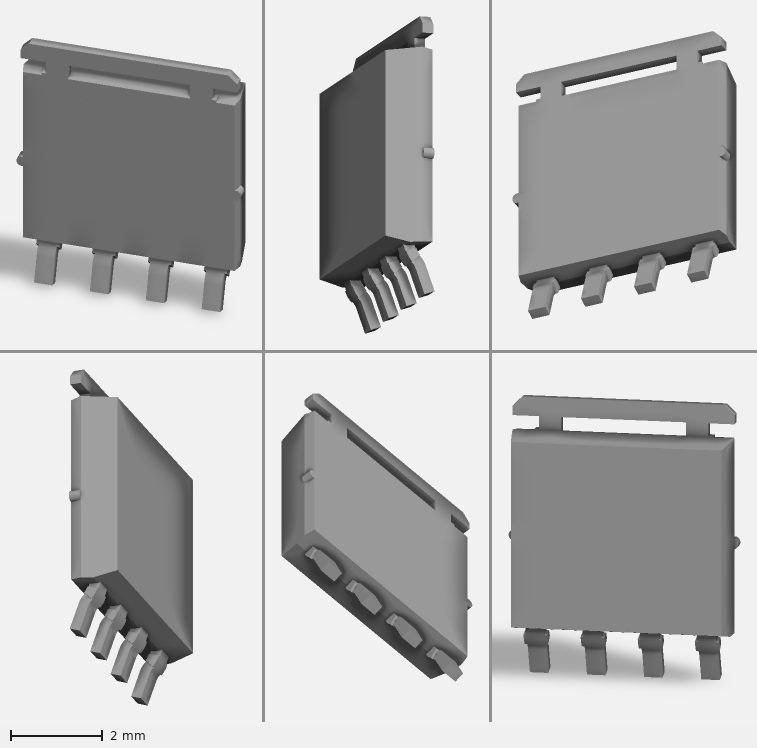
import cadquery as cq
import math


TOTAL_HEIGHT = 6.15
TAB_THICKNESS = 0.245
PACKAGE_DEPTH = 1.06

FRONT_HALF_WIDTH = 2.4
PARTING_HALF_WIDTH = 2.46
BACK_HALF_WIDTH = 2.34
FRONT_TOP = 5.395
PARTING_TOP = 5.43
BACK_TOP = 5.325
FRONT_BOTTOM = 1.115
RIDGE_Y = 0.515
RIDGE_BOTTOM = 1.07
BACK_BOTTOM = 1.195

BAR_HALF_WIDTH = PARTING_HALF_WIDTH
BAR_BOTTOM = 5.745
BAR_CHAMFER = 0.2
NECK_HALF_WIDTH = 1.875
PAD_HALF_WIDTH = 1.98
PAD_TOP = 5.45
PAD_BOTTOM = 2.59
WINDOW_HALF_WIDTH = 1.385
WINDOW_BOTTOM = 4.89

EAR_CENTRE_Z = 3.075
EAR_HALF_HEIGHT = 0.115
EAR_REACH = 2.545
EAR_TIP_ROUND = 0.085
EAR_ROOT_HALF_WIDTH = 2.13
EAR_FLARE = 0.15

LEAD_COUNT = 4
LEAD_PITCH = 1.265
LEAD_WIDTH = 0.41
LEAD_THICKNESS = TAB_THICKNESS
LEAD_EMBED = 0.31
EXIT_ANGLE = 17.0
SHOULDER_WIDTH = 0.52
UPPER_BEND_Y = 0.405
UPPER_BEND_Z = 0.965
UPPER_BEND_ANGLE = 44.0
UPPER_BEND_RADIUS = 0.47
MIDDLE_LENGTH = 0.06
LOWER_BEND_RADIUS = 0.32
TIP_ANGLE = 20.0


def across_lead(angle):
    """Unit Y, Z direction from the front to the back of a lead tilted by angle."""
    return math.cos(math.radians(angle)), -math.sin(math.radians(angle))


def down_lead(angle):
    """Unit Y, Z direction down the length of a lead tilted by angle."""
    return -math.sin(math.radians(angle)), -math.cos(math.radians(angle))


def move(point, direction, distance):
    """Y, Z point reached by going a distance from a point along a unit direction."""
    return point[0] + distance * direction[0], point[1] + distance * direction[1]


def make_tab():
    """Flat tab with a top bar, a window and two ears; the right half outline is mirrored."""
    ear_top = EAR_CENTRE_Z + EAR_HALF_HEIGHT
    ear_bottom = EAR_CENTRE_Z - EAR_HALF_HEIGHT
    ear_neck = EAR_ROOT_HALF_WIDTH + EAR_FLARE
    half = (
        cq.Workplane("XZ")
        .moveTo(0, TOTAL_HEIGHT)
        .lineTo(BAR_HALF_WIDTH - BAR_CHAMFER, TOTAL_HEIGHT)
        .lineTo(BAR_HALF_WIDTH, TOTAL_HEIGHT - BAR_CHAMFER)
        .lineTo(BAR_HALF_WIDTH, BAR_BOTTOM)
        .lineTo(NECK_HALF_WIDTH, BAR_BOTTOM)
        .lineTo(NECK_HALF_WIDTH, PAD_TOP)
        .lineTo(PAD_HALF_WIDTH, PAD_TOP)
        .lineTo(PAD_HALF_WIDTH, ear_top + EAR_FLARE)
        .lineTo(EAR_ROOT_HALF_WIDTH, ear_top + EAR_FLARE)
        .lineTo(ear_neck, ear_top)
        .lineTo(EAR_REACH - EAR_TIP_ROUND, ear_top)
        .threePointArc((EAR_REACH, EAR_CENTRE_Z), (EAR_REACH - EAR_TIP_ROUND, ear_bottom))
        .lineTo(ear_neck, ear_bottom)
        .lineTo(EAR_ROOT_HALF_WIDTH, ear_bottom - EAR_FLARE)
        .lineTo(PAD_HALF_WIDTH, ear_bottom - EAR_FLARE)
        .lineTo(PAD_HALF_WIDTH, PAD_BOTTOM)
        .lineTo(0, PAD_BOTTOM)
        .close()
        .extrude(-TAB_THICKNESS)
    )
    window_height = BAR_BOTTOM - WINDOW_BOTTOM
    window = (
        cq.Workplane("XY", origin=(0, 0, WINDOW_BOTTOM))
        .box(2 * WINDOW_HALF_WIDTH, TAB_THICKNESS, window_height, centered=(True, False, False))
    )
    return half.union(half.mirror("YZ")).clean().cut(window).solids()


def make_moulding():
    """Block with drafted faces: a side profile intersected with a plan profile."""
    side = (
        cq.Workplane("YZ")
        .polyline([
            (0, FRONT_TOP),
            (TAB_THICKNESS, PARTING_TOP),
            (PACKAGE_DEPTH, BACK_TOP),
            (PACKAGE_DEPTH, BACK_BOTTOM),
            (RIDGE_Y, RIDGE_BOTTOM),
            (0, FRONT_BOTTOM),
        ])
        .close()
        .extrude(PARTING_HALF_WIDTH, both=True)
    )
    plan = (
        cq.Workplane("XY")
        .polyline([
            (-FRONT_HALF_WIDTH, 0),
            (FRONT_HALF_WIDTH, 0),
            (PARTING_HALF_WIDTH, TAB_THICKNESS),
            (BACK_HALF_WIDTH, PACKAGE_DEPTH),
            (-BACK_HALF_WIDTH, PACKAGE_DEPTH),
            (-PARTING_HALF_WIDTH, TAB_THICKNESS),
        ])
        .close()
        .extrude(TOTAL_HEIGHT)
    )
    return side.intersect(plan)


def make_lead():
    """Lead at X = 0: tilted exit, forward bend with a wider shoulder, then a part bend back."""
    half_thickness = LEAD_THICKNESS / 2
    upper_start = (UPPER_BEND_Y, UPPER_BEND_Z)
    upper_centre = move(upper_start, across_lead(EXIT_ANGLE), -UPPER_BEND_RADIUS)
    upper_front = UPPER_BEND_RADIUS - half_thickness
    upper_back = UPPER_BEND_RADIUS + half_thickness
    lower_front = LOWER_BEND_RADIUS + half_thickness
    lower_back = LOWER_BEND_RADIUS - half_thickness

    upper_end = move(upper_centre, across_lead(UPPER_BEND_ANGLE), UPPER_BEND_RADIUS)
    lower_start = move(upper_end, down_lead(UPPER_BEND_ANGLE), MIDDLE_LENGTH)
    lower_centre = move(lower_start, across_lead(UPPER_BEND_ANGLE), LOWER_BEND_RADIUS)

    def upper(radius, angle):
        return move(upper_centre, across_lead(angle), radius)

    def lower(radius, angle):
        return move(lower_centre, across_lead(angle), -radius)

    tip_length = lower(lower_back, TIP_ANGLE)[1] / math.cos(math.radians(TIP_ANGLE))
    upper_middle = (EXIT_ANGLE + UPPER_BEND_ANGLE) / 2
    lower_middle = (UPPER_BEND_ANGLE + TIP_ANGLE) / 2

    strip = (
        cq.Workplane("YZ")
        .moveTo(*move(upper(upper_front, EXIT_ANGLE), down_lead(EXIT_ANGLE), -LEAD_EMBED))
        .lineTo(*upper(upper_front, EXIT_ANGLE))
        .threePointArc(upper(upper_front, upper_middle), upper(upper_front, UPPER_BEND_ANGLE))
        .lineTo(*lower(lower_front, UPPER_BEND_ANGLE))
        .threePointArc(lower(lower_front, lower_middle), lower(lower_front, TIP_ANGLE))
        .lineTo(*move(lower(lower_front, TIP_ANGLE), down_lead(TIP_ANGLE), tip_length))
        .lineTo(*move(lower(lower_back, TIP_ANGLE), down_lead(TIP_ANGLE), tip_length))
        .lineTo(*lower(lower_back, TIP_ANGLE))
        .threePointArc(lower(lower_back, lower_middle), lower(lower_back, UPPER_BEND_ANGLE))
        .lineTo(*upper(upper_back, UPPER_BEND_ANGLE))
        .threePointArc(upper(upper_back, upper_middle), upper(upper_back, EXIT_ANGLE))
        .lineTo(*move(upper(upper_back, EXIT_ANGLE), down_lead(EXIT_ANGLE), -LEAD_EMBED))
        .close()
        .extrude(LEAD_WIDTH / 2, both=True)
    )

    shoulder = (
        cq.Workplane("YZ")
        .moveTo(*upper(upper_front, EXIT_ANGLE))
        .threePointArc(upper(upper_front, upper_middle), upper(upper_front, UPPER_BEND_ANGLE))
        .lineTo(*upper(upper_back, UPPER_BEND_ANGLE))
        .threePointArc(upper(upper_back, upper_middle), upper(upper_back, EXIT_ANGLE))
        .close()
        .extrude(SHOULDER_WIDTH / 2, both=True)
    )
    return strip.union(shoulder)


def make_housing(tab):
    """Moulding recessed for the tab, with its row of leads in one piece with it."""
    housing = make_moulding().cut(tab)
    lead = make_lead()
    for index in range(LEAD_COUNT):
        x = (index - (LEAD_COUNT - 1) / 2) * LEAD_PITCH
        housing = housing.union(lead.translate((x, 0, 0)))
    return housing.solids()


tab = make_tab()
housing = make_housing(tab)

result = cq.Compound.makeCompound([tab.val(), housing.val()])